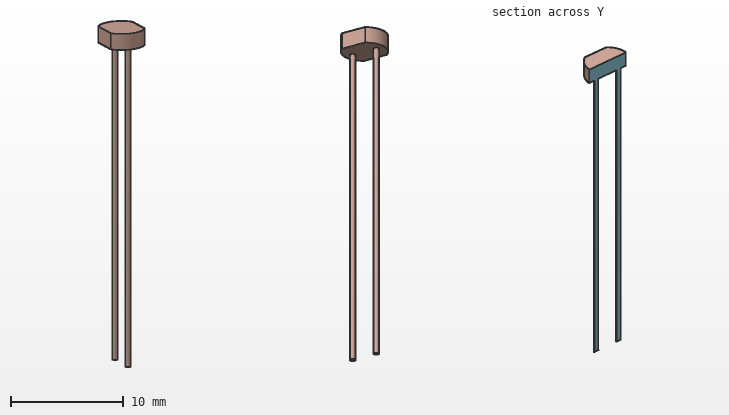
import cadquery as cq

body_diameter = 4.21
body_width = 3.4
body_height = 1.5

lead_diameter = 0.5
lead_pitch = 2.54
overall_height = 31.0
lead_length = overall_height - body_height


def make_body():
    """Disc standing on Z = 0, cut to the body width by flats facing -Y and +Y."""
    disc = cq.Workplane("XY").circle(body_diameter / 2).extrude(body_height)
    flats = cq.Workplane("XY").rect(body_diameter, body_width).extrude(body_height)
    return disc.intersect(flats)


def make_leads():
    """Two wires spaced along X, hanging down from the underside of the body."""
    lead_centres = [(-lead_pitch / 2, 0), (lead_pitch / 2, 0)]
    return cq.Workplane("XY").pushPoints(lead_centres).circle(lead_diameter / 2).extrude(-lead_length)


result = make_body().union(make_leads())